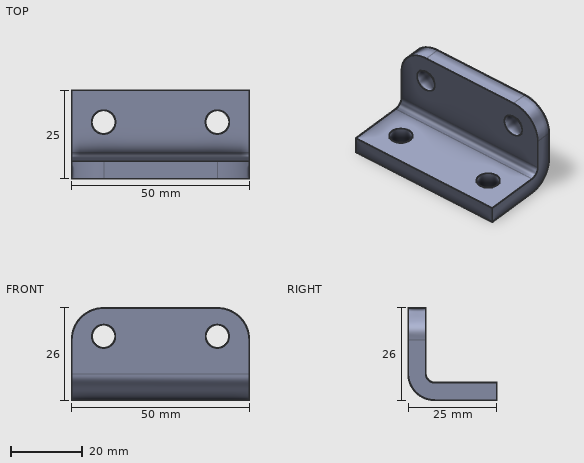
import cadquery as cq

length = 50.0
depth = 25.0
height = 26.0
thickness = 5.0

inner_bend_radius = 2.5
outer_bend_radius = inner_bend_radius + thickness
corner_radius = 9.0

upright_hole_diameter = 6.5
base_hole_diameter = 6.6
hole_spacing = 32.0
upright_hole_height = 18.0
base_hole_depth = 16.0


def bent_plate():
    """L-shaped plate along X: base on Z = 0, outer face of the upright on Y = 0."""
    profile = (
        cq.Workplane("YZ")
        .moveTo(0, 0)
        .lineTo(depth, 0)
        .lineTo(depth, thickness)
        .lineTo(thickness, thickness)
        .lineTo(thickness, height)
        .lineTo(0, height)
        .close()
    )
    plate = profile.extrude(length / 2, both=True)
    outer_bend_edge = cq.selectors.NearestToPointSelector((0, 0, 0))
    inner_bend_edge = cq.selectors.NearestToPointSelector((0, thickness, thickness))
    plate = plate.edges("|X").edges(inner_bend_edge).fillet(inner_bend_radius)
    return plate.edges("|X").edges(outer_bend_edge).fillet(outer_bend_radius)


def round_upright_corners(plate):
    """Round the two free top corners of the upright leg."""
    return plate.faces(">Z").edges("|Y").fillet(corner_radius)


def upright_hole(x):
    """Cutter along Y through the upright leg."""
    start = cq.Vector(x, 0, upright_hole_height)
    return cq.Solid.makeCylinder(upright_hole_diameter / 2, thickness, start, cq.Vector(0, 1, 0))


def base_hole(x):
    """Cutter along Z through the base leg."""
    start = cq.Vector(x, base_hole_depth, 0)
    return cq.Solid.makeCylinder(base_hole_diameter / 2, thickness, start, cq.Vector(0, 0, 1))


result = round_upright_corners(bent_plate())
for hole_x in (-hole_spacing / 2, hole_spacing / 2):
    result = result.cut(cq.Workplane(upright_hole(hole_x)))
    result = result.cut(cq.Workplane(base_hole(hole_x)))